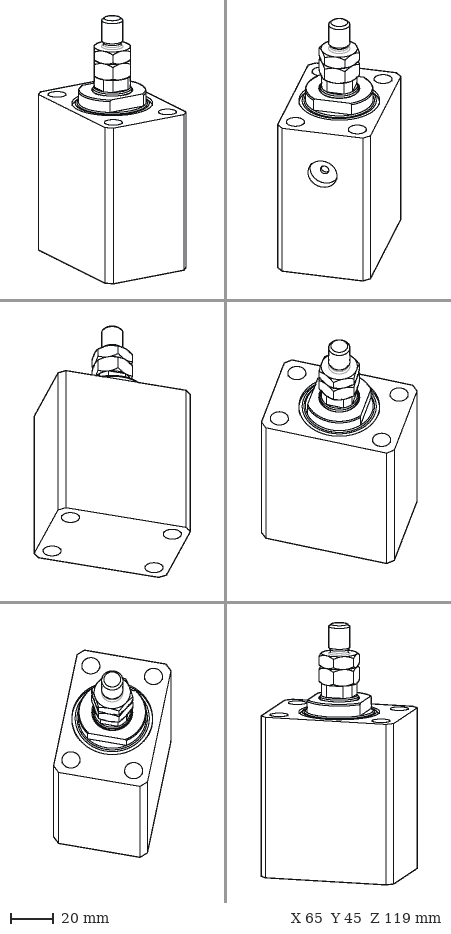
import cadquery as cq
import math

HOUSING_LENGTH = 65.0
HOUSING_WIDTH = 45.0
HOUSING_HEIGHT = 77.0
CORNER_CHAMFER = 3.0
BOLT_HOLE_DIAMETER = 8.5
BOLT_SPACING_X = 50.0
BOLT_SPACING_Y = 30.0

PORT_HEIGHT = 55.0
PORT_DIAMETER = 14.0
PORT_DEPTH = 4.2
PORT_HOLE_DIAMETER = 4.0
PORT_HOLE_DEPTH = 1.8
DRILL_POINT_ANGLE = 118.0

GLAND_DIAMETER = 38.0
GLAND_DEPTH = 11.9
GLAND_CHAMFER = 1.5
COLLAR_FOOT_DIAMETER = 33.1
COLLAR_FOOT_HEIGHT = 0.6
COLLAR_DIAMETER = 31.9
COLLAR_HEIGHT = 6.7
COLLAR_CHAMFER_HEIGHT = 0.7
COLLAR_CHAMFER_WIDTH = 0.4
COLLAR_ACROSS_FLATS = 26.0
BORE_CHAMFER = 0.6

ROD_DIAMETER = 18.1
ROD_EXPOSED_HEIGHT = 0.7
NECK_DIAMETER = 17.1
NECK_CHAMFER_HEIGHT = 0.7
NECK_ACROSS_FLATS = 15.0
NECK_LENGTH = 5.8
STUD_DIAMETER = 10.0
STUD_TOP = 119.0
STUD_TIP_CHAMFER = 1.1
STUD_LENGTH = 11.1
RELIEF_DIAMETER = 8.5
RELIEF_TAPER_HEIGHT = 1.1

HEX_ACROSS_FLATS = 17.0
HEX_CHAMFER_ANGLE = 40.0
NUT_HEIGHT = 8.0
ROD_HEX_HEIGHT = 6.2

COLLAR_TOP = HOUSING_HEIGHT + COLLAR_HEIGHT
NECK_BOTTOM = COLLAR_TOP + ROD_EXPOSED_HEIGHT + NECK_CHAMFER_HEIGHT
NUT_BOTTOM = NECK_BOTTOM + NECK_LENGTH
NUT_TOP = NUT_BOTTOM + NUT_HEIGHT
ROD_HEX_TOP = NUT_TOP + ROD_HEX_HEIGHT
GLAND_BOTTOM = HOUSING_HEIGHT - GLAND_DEPTH


def cylinder(diameter, bottom, top):
    return cq.Workplane("XY").workplane(offset=bottom).circle(diameter / 2).extrude(top - bottom)


def block_between(length, width, bottom, top):
    return cq.Workplane("XY").workplane(offset=bottom).rect(length, width).extrude(top - bottom)


def revolved(profile):
    """Turn a closed (radius, height) outline about the Z axis."""
    return profile.close().revolve(360, (0, 0, 0), (0, 1, 0))


def double_chamfered_hex(bottom, height):
    """Hexagonal prism with two faces square to X and conical chamfers at both ends."""
    corner_diameter = HEX_ACROSS_FLATS / math.cos(math.pi / 6)
    corner_radius = corner_diameter / 2
    face_radius = HEX_ACROSS_FLATS / 2
    drop = (corner_radius - face_radius) * math.tan(math.radians(HEX_CHAMFER_ANGLE))
    top = bottom + height
    prism = (
        cq.Workplane("XY", origin=(0, 0, bottom))
        .transformed(rotate=(0, 0, 30))
        .polygon(6, corner_diameter)
        .extrude(height)
    )
    envelope = revolved(
        cq.Workplane("XZ")
        .moveTo(0, bottom)
        .lineTo(face_radius, bottom)
        .lineTo(corner_radius, bottom + drop)
        .lineTo(corner_radius, top - drop)
        .lineTo(face_radius, top)
        .lineTo(0, top)
    )
    return prism.intersect(envelope)


def make_port_cutter():
    """Round port recess and the smaller drilled hole in its floor, turned about the port's X axis."""
    port_radius = PORT_DIAMETER / 2
    hole_radius = PORT_HOLE_DIAMETER / 2
    hole_end = PORT_DEPTH + PORT_HOLE_DEPTH
    point_length = hole_radius / math.tan(math.radians(DRILL_POINT_ANGLE / 2))
    return (
        cq.Workplane("XZ", origin=(-HOUSING_LENGTH / 2, 0, PORT_HEIGHT))
        .moveTo(0, 0)
        .lineTo(0, port_radius)
        .lineTo(PORT_DEPTH, port_radius)
        .lineTo(PORT_DEPTH, hole_radius)
        .lineTo(hole_end, hole_radius)
        .lineTo(hole_end + point_length, 0)
        .close()
        .revolve(360, (0, 0, 0), (1, 0, 0))
    )


def make_housing():
    block = block_between(HOUSING_LENGTH, HOUSING_WIDTH, 0, HOUSING_HEIGHT)
    block = block.edges("|Z").chamfer(CORNER_CHAMFER)

    bolt_holes = (
        cq.Workplane("XY")
        .rarray(BOLT_SPACING_X, BOLT_SPACING_Y, 2, 2)
        .circle(BOLT_HOLE_DIAMETER / 2)
        .extrude(HOUSING_HEIGHT)
    )
    gland_seat = cylinder(GLAND_DIAMETER, GLAND_BOTTOM, HOUSING_HEIGHT)

    return block.cut(bolt_holes).cut(gland_seat).cut(make_port_cutter())


def make_gland():
    plug_radius = GLAND_DIAMETER / 2
    collar_radius = COLLAR_DIAMETER / 2
    foot_top = HOUSING_HEIGHT + COLLAR_FOOT_HEIGHT
    plug = revolved(
        cq.Workplane("XZ")
        .moveTo(0, GLAND_BOTTOM)
        .lineTo(plug_radius, GLAND_BOTTOM)
        .lineTo(plug_radius, HOUSING_HEIGHT - GLAND_CHAMFER)
        .lineTo(plug_radius - GLAND_CHAMFER, HOUSING_HEIGHT)
        .lineTo(COLLAR_FOOT_DIAMETER / 2, HOUSING_HEIGHT)
        .lineTo(collar_radius, foot_top)
        .lineTo(0, foot_top)
    )
    collar = revolved(
        cq.Workplane("XZ")
        .moveTo(0, foot_top)
        .lineTo(collar_radius, foot_top)
        .lineTo(collar_radius, COLLAR_TOP - COLLAR_CHAMFER_HEIGHT)
        .lineTo(collar_radius - COLLAR_CHAMFER_WIDTH, COLLAR_TOP)
        .lineTo(0, COLLAR_TOP)
    )
    flats = block_between(COLLAR_ACROSS_FLATS, COLLAR_DIAMETER, foot_top, COLLAR_TOP)
    rod_radius = ROD_DIAMETER / 2
    rod_bore = revolved(
        cq.Workplane("XZ")
        .moveTo(0, GLAND_BOTTOM)
        .lineTo(rod_radius, GLAND_BOTTOM)
        .lineTo(rod_radius, COLLAR_TOP - BORE_CHAMFER)
        .lineTo(rod_radius + BORE_CHAMFER, COLLAR_TOP)
        .lineTo(0, COLLAR_TOP)
    )
    return plug.union(collar.intersect(flats)).cut(rod_bore)


def make_shaft():
    """Round shaft through the gland, narrowing to the neck with four flats."""
    rod_radius = ROD_DIAMETER / 2
    shaft = revolved(
        cq.Workplane("XZ")
        .moveTo(0, GLAND_BOTTOM)
        .lineTo(rod_radius, GLAND_BOTTOM)
        .lineTo(rod_radius, NECK_BOTTOM - NECK_CHAMFER_HEIGHT)
        .lineTo(NECK_DIAMETER / 2, NECK_BOTTOM)
        .lineTo(0, NECK_BOTTOM)
    )
    neck = cylinder(NECK_DIAMETER, NECK_BOTTOM, NUT_BOTTOM)
    flats = block_between(NECK_ACROSS_FLATS, NECK_ACROSS_FLATS, NECK_BOTTOM, NUT_BOTTOM)
    return shaft.union(neck.intersect(flats))


def make_stud():
    """Stud above the hexagon, with a relief groove that flares into the hexagon's top."""
    stud_radius = STUD_DIAMETER / 2
    relief_radius = RELIEF_DIAMETER / 2
    flare_radius = stud_radius - relief_radius
    stud_bottom = STUD_TOP - STUD_LENGTH
    flare_middle = flare_radius * (1 - math.sqrt(0.5))
    return revolved(
        cq.Workplane("XZ")
        .moveTo(0, ROD_HEX_TOP)
        .lineTo(stud_radius, ROD_HEX_TOP)
        .threePointArc(
            (relief_radius + flare_middle, ROD_HEX_TOP + flare_middle),
            (relief_radius, ROD_HEX_TOP + flare_radius),
        )
        .lineTo(relief_radius, stud_bottom - RELIEF_TAPER_HEIGHT)
        .lineTo(stud_radius, stud_bottom)
        .lineTo(stud_radius, STUD_TOP - STUD_TIP_CHAMFER)
        .lineTo(stud_radius - STUD_TIP_CHAMFER, STUD_TOP)
        .lineTo(0, STUD_TOP)
    )


def make_rod():
    nut_shank = cylinder(STUD_DIAMETER, NUT_BOTTOM, NUT_TOP)
    hexagon = double_chamfered_hex(NUT_TOP, ROD_HEX_HEIGHT)
    return make_shaft().union(nut_shank).union(hexagon).union(make_stud())


def make_nut():
    bore = cylinder(STUD_DIAMETER, NUT_BOTTOM, NUT_TOP)
    return double_chamfered_hex(NUT_BOTTOM, NUT_HEIGHT).cut(bore)


housing = make_housing()
gland = make_gland()
rod = make_rod()
nut = make_nut()

result = cq.Compound.makeCompound([housing.val(), gland.val(), rod.val(), nut.val()])